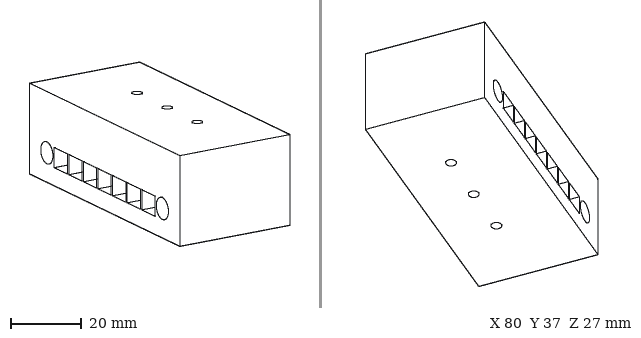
import cadquery as cq

length = 80.0
depth = 37.0
height = 27.0

channel_count = 7
channel_width = 7.0
channel_height = 6.0
channel_pitch = 7.8
channel_floor = 5.4

bore_diameter = 6.5
bore_spacing = 61.4
bore_height = 8.8

hole_count = 3
hole_diameter = 3.0
hole_pitch = 16.0
hole_offset_y = 2.5


def row_positions(count, pitch):
    """Coordinates of evenly spaced features centred on zero."""
    return [(i - (count - 1) / 2) * pitch for i in range(count)]


block = cq.Workplane("XY").box(length, depth, height, centered=(True, True, False))

channel_centre = channel_floor + channel_height / 2
channels = (
    cq.Workplane("XZ")
    .pushPoints([(x, channel_centre) for x in row_positions(channel_count, channel_pitch)])
    .rect(channel_width, channel_height)
    .extrude(depth / 2, both=True)
)

bores = (
    cq.Workplane("XZ")
    .pushPoints([(x, bore_height) for x in row_positions(2, bore_spacing)])
    .circle(bore_diameter / 2)
    .extrude(depth / 2, both=True)
)

holes = (
    cq.Workplane("XY")
    .pushPoints([(x, hole_offset_y) for x in row_positions(hole_count, hole_pitch)])
    .circle(hole_diameter / 2)
    .extrude(height)
)

result = block.cut(channels).cut(bores).cut(holes)